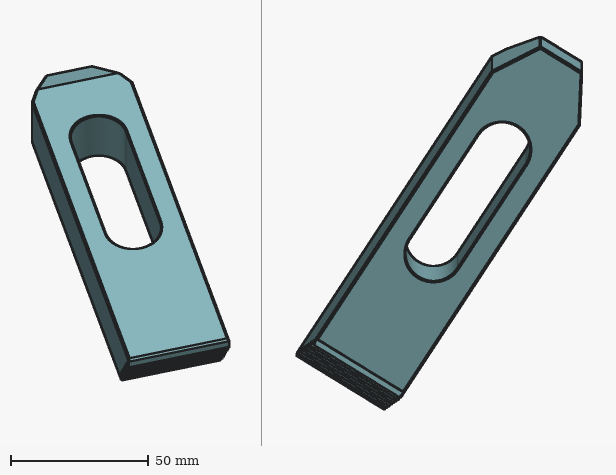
import cadquery as cq
import math

length = 150.0
width = 38.0
height = 22.0
edge_break = 0.6
nose_edge_break = 0.3

nose_width = 18.0
nose_angle = math.radians(30)
nose_height = 15.2
nose_taper_length = (width - nose_width) / 2 / math.tan(nose_angle)
nose_slope_length = (height - nose_height) / math.tan(nose_angle)

slot_start = 30.0
slot_end = 96.9
slot_width = 20.4
slot_edge_break = 0.5

tooth_count = 8
serration_run = 11.1
flank_run = 0.5
flank_drop = 3.2
tooth_step_x = serration_run / (tooth_count - 1)
tooth_step_z = (height - flank_drop) / (tooth_count - 1)
undercut_run = 2.4
heel_chamfer_length = 1.0
undercut_rise = flank_drop - tooth_step_z
clearance = 7.5


def make_blank():
    """Bar with a nose narrowed from both sides and sloped from the top."""
    bar = (
        cq.Workplane("XY")
        .moveTo(0, -nose_width / 2)
        .lineTo(nose_taper_length, -width / 2)
        .lineTo(length, -width / 2)
        .lineTo(length, width / 2)
        .lineTo(nose_taper_length, width / 2)
        .lineTo(0, nose_width / 2)
        .close()
        .extrude(height)
    )
    slope = (
        cq.Workplane("XZ")
        .polyline([(0, nose_height), (nose_slope_length, height), (0, height)])
        .close()
        .extrude(width / 2, both=True)
    )
    return bar.cut(slope)


def break_nose(blank):
    """Fine chamfer on the upright and upper edges of the nose face."""
    return blank.faces("<X").edges("|Z or >Z").chamfer(nose_edge_break)


def break_outline(blank):
    """Chamfer the bottom, top and slope outlines; the ridge above the slope stays sharp."""
    ridge = blank.faces(">Z").edges("<X").val()
    bottom = blank.faces("<Z").edges()
    top = blank.faces(">Z").edges().filter(lambda edge: not edge.isSame(ridge))
    slope_sides = blank.edges("(not |X) and (not |Y) and (not |Z) and (not #Z)")
    return bottom.add(top).add(slope_sides).chamfer(edge_break)


def make_slot():
    """Rounded-end slot with a flared chamfer at both mouths."""
    slot_length = slot_end - slot_start
    slot = (
        cq.Workplane("XY")
        .center((slot_start + slot_end) / 2, 0)
        .slot2D(slot_length, slot_width)
        .extrude(height)
    )
    flare = (
        cq.Workplane("XY")
        .center((slot_start + slot_end) / 2, 0)
        .slot2D(slot_length + 2 * slot_edge_break, slot_width + 2 * slot_edge_break)
        .extrude(slot_edge_break, taper=45)
    )
    return slot.union(flare).union(flare.mirror("XY").translate((0, 0, height)))


def make_heel_cutter():
    """Everything beyond the serrated heel, including its top edge chamfer."""
    tip_x = length
    tip_z = height - flank_drop
    points = [
        (length - flank_run - heel_chamfer_length, height),
        (length - flank_run, height - edge_break),
    ]
    for _ in range(tooth_count):
        points.append((tip_x, tip_z))
        points.append((tip_x - undercut_run, tip_z + undercut_rise))
        tip_x -= tooth_step_x
        tip_z -= tooth_step_z
    last_root_x = points[-1][0]
    points += [
        (last_root_x, -clearance),
        (length + clearance, -clearance),
        (length + clearance, height + clearance),
        (length - flank_run - heel_chamfer_length, height + clearance),
    ]
    return cq.Workplane("XZ").polyline(points).close().extrude(width, both=True)


blank = make_blank()
body = break_outline(blank).intersect(break_nose(blank))
result = body.cut(make_slot()).cut(make_heel_cutter())